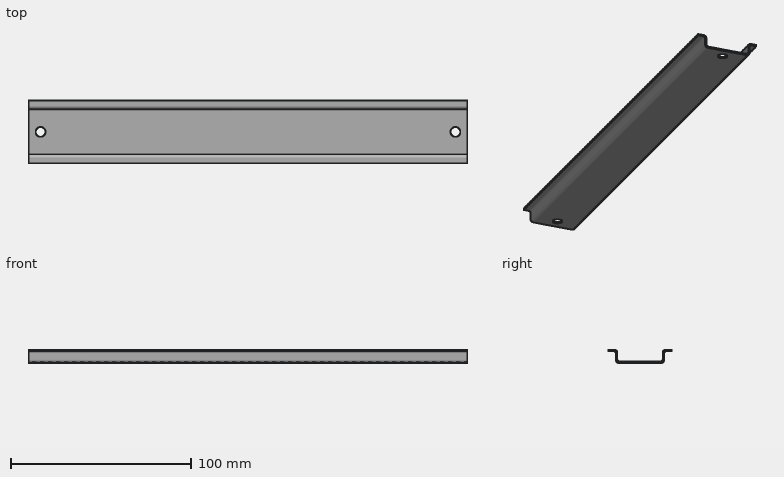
import cadquery as cq

length = 243.0
overall_width = 35.0
height = 7.5
thickness = 1.0
channel_width = 27.0
inner_radius = 1.0
outer_radius = inner_radius + thickness

hole_diameter = 5.3
hole_end_distance = 6.5

half_width = overall_width / 2
half_channel = channel_width / 2
half_cavity = half_channel - thickness


def make_rail():
    """Extrude the bent-sheet section, with rounded bends, along the length."""
    outline = [
        (-half_channel, 0),
        (half_channel, 0),
        (half_channel, height - thickness),
        (half_width, height - thickness),
        (half_width, height),
        (half_cavity, height),
        (half_cavity, thickness),
        (-half_cavity, thickness),
        (-half_cavity, height),
        (-half_width, height),
        (-half_width, height - thickness),
        (-half_channel, height - thickness),
    ]
    rail = cq.Workplane("YZ").polyline(outline).close().extrude(length / 2, both=True)

    for side in (-1, 1):
        bends = [
            (half_channel, 0, outer_radius),
            (half_cavity, thickness, inner_radius),
            (half_cavity, height, outer_radius),
            (half_channel, height - thickness, inner_radius),
        ]
        for y, z, radius in bends:
            edge = cq.selectors.NearestToPointSelector((0, side * y, z))
            rail = rail.edges("|X").edges(edge).fillet(radius)
    return rail


def make_mounting_holes():
    """Cutters for the round hole near each end of the channel floor."""
    hole_x = length / 2 - hole_end_distance
    return (
        cq.Workplane("XY")
        .pushPoints([(-hole_x, 0), (hole_x, 0)])
        .circle(hole_diameter / 2)
        .extrude(height)
    )


result = make_rail().cut(make_mounting_holes())